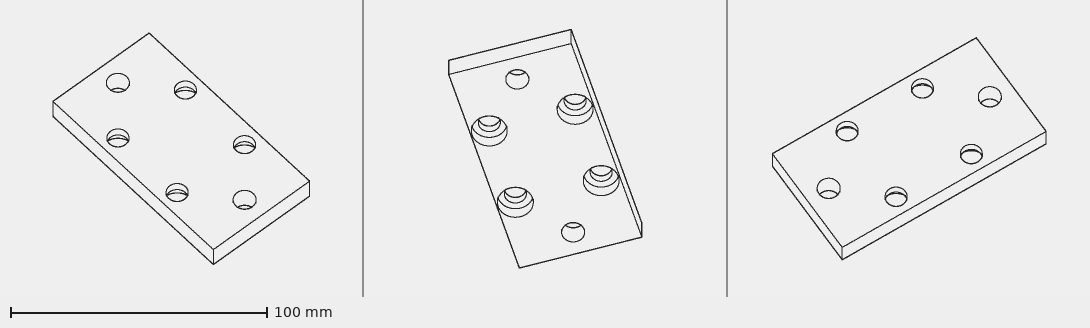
import cadquery as cq

length = 95.0
width = 50.0
thickness = 10.0

end_hole_diameter = 9.0
end_hole_spacing = 75.0

corner_hole_diameter = 8.6
corner_hole_spacing = 35.0
counterbore_diameter = 14.0
counterbore_depth = 6.0


def make_plate():
    return cq.Workplane("XY").box(length, width, thickness, centered=(True, True, False))


def cylinders_at(points, diameter, height):
    """Upright cylinders rising from the underside of the plate."""
    return cq.Workplane("XY").pushPoints(points).circle(diameter / 2).extrude(height)


end_points = [(side * end_hole_spacing / 2, 0) for side in (-1, 1)]
corner_points = [
    (x_side * corner_hole_spacing / 2, y_side * corner_hole_spacing / 2)
    for x_side in (-1, 1)
    for y_side in (-1, 1)
]

result = (
    make_plate()
    .cut(cylinders_at(end_points, end_hole_diameter, thickness))
    .cut(cylinders_at(corner_points, corner_hole_diameter, thickness))
    .cut(cylinders_at(corner_points, counterbore_diameter, counterbore_depth))
)